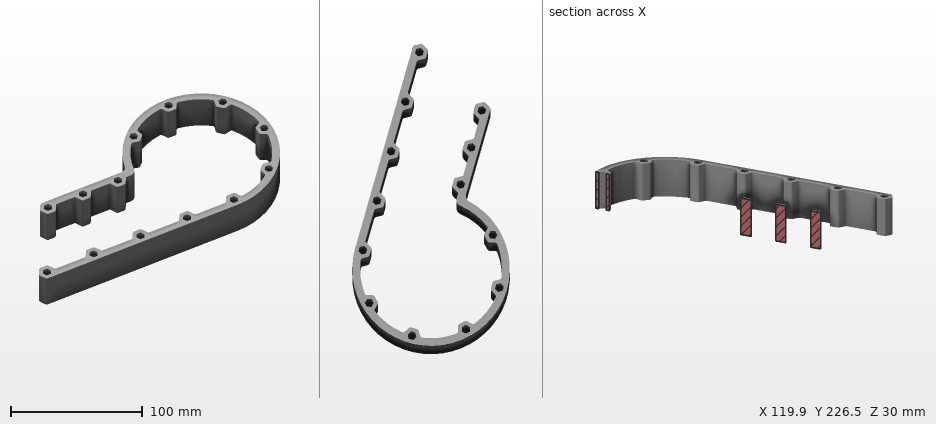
import cadquery as cq
import math

length = 226.5
width = 119.9
height = 30.0

boss_flats = 12.0
hole_flats = boss_flats / 2
boss_fillet = 2.0

wall = boss_flats / 2
joint_fillet = 5.0

outer_radius = width / 2
inner_radius = outer_radius - wall
ring_boss_angles = range(0, 226, 45)

boss_corner_radius = boss_flats / 2 / math.cos(math.pi / 6)
rounded_tip = boss_corner_radius - boss_fillet * (1 / math.cos(math.pi / 6) - 1)
long_arm_end = -(length - outer_radius - rounded_tip)
long_arm_bosses = 4

short_arm_outer_x = -10.0
short_arm_inner_x = short_arm_outer_x + wall
short_arm_end = -129.2
short_arm_pitch = 30.0
short_arm_bosses = 3

full_hexagon = range(-150, 151, 60)
half_hexagon = (-90, -30, 30, 90)

ring_bosses = [
    (
        inner_radius * math.cos(math.radians(angle)),
        inner_radius * math.sin(math.radians(angle)),
        angle + 180,
    )
    for angle in ring_boss_angles
]
long_bosses = [
    (inner_radius, long_arm_end * i / long_arm_bosses, 180)
    for i in range(1, long_arm_bosses + 1)
]
short_bosses = [
    (short_arm_inner_x, short_arm_end + i * short_arm_pitch, 0)
    for i in range(short_arm_bosses)
]
long_end_boss = long_bosses[-1]
short_end_boss = short_bosses[0]
all_bosses = ring_bosses + long_bosses + short_bosses


def corner(boss, flats, angle):
    """Corner of a boss-centred hexagon, at an angle from the facing direction."""
    x, y, facing = boss
    radius = flats / 2 / math.cos(math.pi / 6)
    turn = math.radians(facing + angle)
    return (x + radius * math.cos(turn), y + radius * math.sin(turn))


def prism(boss, flats, angles):
    """Full-height prism through the hexagon corners at the given angles."""
    points = [corner(boss, flats, angle) for angle in angles]
    return cq.Workplane("XY").polyline(points).close().extrude(height)


def fillet_upright(body, point, radius):
    """Fillet the upright edge nearest to an (x, y) point."""
    edge = cq.selectors.NearestToPointSelector((*point, height / 2))
    return body.edges("|Z").edges(edge).fillet(radius)


def circle_bottom_y(radius, x):
    """Y of the lower half of a ring circle at the given X."""
    return -math.sqrt(radius**2 - x**2)


def make_wall():
    """Constant-thickness wall: long arm, ring and short arm."""
    outer_joint = (short_arm_outer_x, circle_bottom_y(outer_radius, short_arm_outer_x))
    inner_joint = (short_arm_inner_x, circle_bottom_y(inner_radius, short_arm_inner_x))
    band = (
        cq.Workplane("XY")
        .moveTo(outer_radius, long_arm_end)
        .lineTo(outer_radius, 0)
        .threePointArc((-outer_radius, 0), outer_joint)
        .lineTo(short_arm_outer_x, short_arm_end)
        .lineTo(short_arm_inner_x, short_arm_end)
        .lineTo(*inner_joint)
        .threePointArc((-inner_radius, 0), (inner_radius, 0))
        .lineTo(inner_radius, long_arm_end)
        .close()
        .extrude(height)
    )
    for joint in (outer_joint, inner_joint):
        band = fillet_upright(band, joint, joint_fillet)
    return band


def add_bosses(body):
    """Half hexagons along the inner face, full hexagons at the arm ends."""
    for boss in all_bosses:
        is_end = boss in (long_end_boss, short_end_boss)
        body = body.union(prism(boss, boss_flats, full_hexagon if is_end else half_hexagon))
    return body


def round_bosses(body):
    """Fillet the free boss corners, and the roots on the ring and long arm."""
    places = []
    for boss in all_bosses:
        places += [corner(boss, boss_flats, angle) for angle in (-30, 30)]
    for boss in ring_bosses + long_bosses:
        root_angles = (-90,) if boss == long_end_boss else (-90, 90)
        places += [corner(boss, boss_flats, angle) for angle in root_angles]
    places += [corner(long_end_boss, boss_flats, angle) for angle in (90, 150)]
    places += [corner(short_end_boss, boss_flats, angle) for angle in (-90, -150)]
    for place in places:
        body = fillet_upright(body, place, boss_fillet)
    return body


result = round_bosses(add_bosses(make_wall()))
for hole_place in all_bosses:
    result = result.cut(prism(hole_place, hole_flats, full_hexagon))